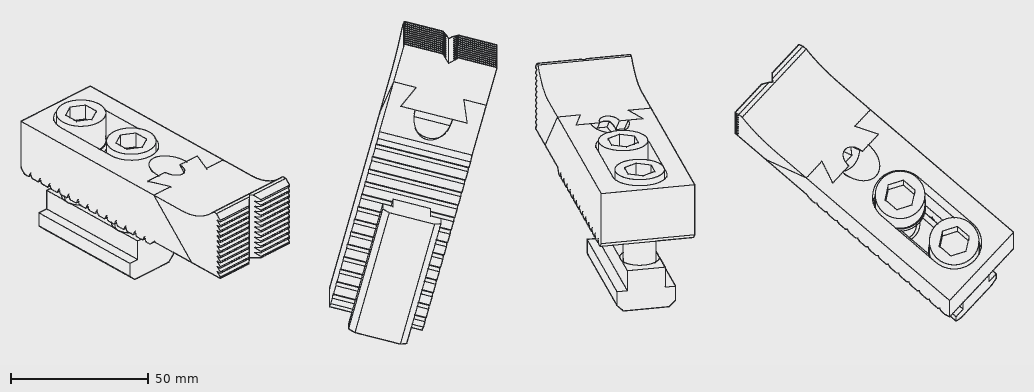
import cadquery as cq
import math


LENGTH = 105.0
WIDTH = 35.0
BODY_HEIGHT = 20.0
BODY_TOP_END = 70.0
SLOPE = 1 / math.sqrt(2)

FOOT_HEIGHT = 2.0
FOOT_END = BODY_TOP_END
GROOVE_COUNT = 13
GROOVE_PITCH = FOOT_END / (GROOVE_COUNT + 1)
GROOVE_DEPTH = 1.8
GROOVE_HALF_WIDTH = 0.8

DOVETAIL_DEPTH = 6.0
DOVETAIL_WIDE = 25.0
DOVETAIL_NARROW = 18.0

HOLLOW_START = 85.0
HOLLOW_RADIUS = 22.5
PEAK_HEIGHT = 7.0
PEAK_CHAMFER = 2.0
TOOTH_COUNT = 11
TOOTH_PITCH = 2.2
TOOTH_DEPTH = 1.6
NOTCH_DEPTH = 2.9

CAP_SPACING = 26.5
CAP_MIDDLE = 26.7
SHANK_RADIUS = 6.0
HEAD_RADIUS = 9.0
HEAD_TOP = 2.0
HEAD_HEIGHT = 11.8
FLANGE_RADIUS = 9.3
FLANGE_HEIGHT = 2.5
SOCKET_ACROSS_FLATS = 10.0
SOCKET_DEPTH = 6.0
POINT_ALONG_X = 30
SHANK_END = -45.0

SLOT_HEAD_WIDTH = 20.0
SLOT_SHANK_WIDTH = 13.0

NUT_LENGTH = 48.0
NUT_TOP = -33.0
NUT_SHOULDER = -41.0
NUT_BOTTOM = -48.9
NUT_NECK_WIDTH = 14.2
NUT_WIDTH = 21.9
NUT_CHAMFER = 2.4
COUNTERSINK_RADIUS = 7.2

SCREW_RADIUS = 7.0
SCREW_DEPTH = 8.7
SCREW_LENGTH = 14.0
SCREW_SOCKET_FLATS = 7.0
SCREW_SOCKET_DEPTH = 6.0
KEY_HOLE_RADIUS = 3.7

HEAD_BOTTOM = HEAD_TOP - HEAD_HEIGHT
HEAD_SEAT = HEAD_BOTTOM - FLANGE_HEIGHT
CAP_PLACES = [(CAP_MIDDLE - CAP_SPACING / 2, 0), (CAP_MIDDLE + CAP_SPACING / 2, 0)]
LONG = 2 * LENGTH
FOOT_BOTTOM = -BODY_HEIGHT - FOOT_HEIGHT
SCREW_TOP = -SCREW_DEPTH
SCREW_BOTTOM = SCREW_TOP - SCREW_LENGTH


def side_plate(points):
    """Extrude a closed XZ polygon across the full width."""
    return cq.Workplane("XZ").polyline(points).close().extrude(WIDTH / 2, both=True)


slope_plane = cq.Plane(origin=(BODY_TOP_END, 0, 0), xDir=(SLOPE, 0, SLOPE), normal=(-SLOPE, 0, SLOPE))
screw_start = (BODY_TOP_END - DOVETAIL_DEPTH / SLOPE, 0, 0)
screw_plane = cq.Plane(origin=screw_start, xDir=slope_plane.xDir, normal=slope_plane.zDir)


def sloping_cylinder(radius, bottom, top):
    """A cylinder on the adjusting screw's axis, between two distances along it."""
    return cq.Workplane(screw_plane).workplane(offset=bottom).circle(radius).extrude(top - bottom)


def dovetail():
    """The tongue of the insert, endless along the slope; it starts at the joint face."""
    outline = [
        (0, -DOVETAIL_NARROW / 2),
        (-DOVETAIL_DEPTH, -DOVETAIL_WIDE / 2),
        (-DOVETAIL_DEPTH, DOVETAIL_WIDE / 2),
        (0, DOVETAIL_NARROW / 2),
    ]
    return cq.Workplane(slope_plane).polyline(outline).close().extrude(LONG / 2, both=True)


def upright_cylinder(x, y, radius, bottom, top):
    return cq.Workplane("XY", origin=(x, y, bottom)).circle(radius).extrude(top - bottom)


def slot(width, bottom, top):
    """An upright round-ended slot that takes both cap screws."""
    return (
        cq.Workplane("XY", origin=(CAP_MIDDLE, 0, bottom))
        .slot2D(CAP_SPACING + width, width)
        .extrude(top - bottom)
    )


def make_carrier():
    """The block with the grooved foot, the cap screw slot and the dovetail recess."""
    carrier = side_plate([
        (0, 0),
        (0, -BODY_HEIGHT),
        (FOOT_HEIGHT, FOOT_BOTTOM),
        (FOOT_END - FOOT_HEIGHT, FOOT_BOTTOM),
        (FOOT_END, -BODY_HEIGHT),
        (BODY_TOP_END + BODY_HEIGHT, -BODY_HEIGHT),
        (BODY_TOP_END, 0),
    ])
    for i in range(1, GROOVE_COUNT + 1):
        x = i * GROOVE_PITCH
        carrier = carrier.cut(side_plate([
            (x - GROOVE_HALF_WIDTH, FOOT_BOTTOM),
            (x, FOOT_BOTTOM + GROOVE_DEPTH),
            (x + GROOVE_HALF_WIDTH, FOOT_BOTTOM),
        ]))
    carrier = carrier.cut(dovetail())
    carrier = carrier.cut(slot(SLOT_HEAD_WIDTH, HEAD_SEAT, 0))
    carrier = carrier.cut(slot(SLOT_SHANK_WIDTH, FOOT_BOTTOM, 0))
    return carrier.cut(sloping_cylinder(SCREW_RADIUS, -LONG, LONG))


def make_insert():
    """The gripping end with its hollow top, saw teeth, end notch and screw pocket."""
    hollow_run = math.sqrt(HOLLOW_RADIUS**2 - (HOLLOW_RADIUS - PEAK_HEIGHT) ** 2)
    half_angle = math.asin(hollow_run / HOLLOW_RADIUS) / 2
    hollow_middle = (
        HOLLOW_START + HOLLOW_RADIUS * math.sin(half_angle),
        HOLLOW_RADIUS * (1 - math.cos(half_angle)),
    )
    block = (
        cq.Workplane("XZ")
        .moveTo(BODY_TOP_END, 0)
        .lineTo(HOLLOW_START, 0)
        .threePointArc(hollow_middle, (HOLLOW_START + hollow_run, PEAK_HEIGHT))
        .lineTo(LENGTH - PEAK_CHAMFER, PEAK_HEIGHT)
        .lineTo(LENGTH, PEAK_HEIGHT - PEAK_CHAMFER)
        .lineTo(LENGTH, -BODY_HEIGHT)
        .lineTo(BODY_TOP_END + BODY_HEIGHT, -BODY_HEIGHT)
        .close()
        .extrude(WIDTH / 2, both=True)
    )
    body_layer = cq.Workplane("XY", origin=(0, 0, -BODY_HEIGHT / 2)).box(LONG, WIDTH, BODY_HEIGHT)
    insert = block.union(dovetail().intersect(body_layer))
    for i in range(1, TOOTH_COUNT + 1):
        z = -BODY_HEIGHT + i * TOOTH_PITCH
        insert = insert.cut(side_plate([
            (LENGTH, z),
            (LENGTH - TOOTH_DEPTH, z),
            (LENGTH, z - TOOTH_DEPTH),
        ]))
    notch = (
        cq.Workplane("XY")
        .polyline([(LENGTH - NOTCH_DEPTH, 0), (LENGTH, -NOTCH_DEPTH), (LENGTH, NOTCH_DEPTH)])
        .close()
        .extrude(LONG, both=True)
    )
    insert = insert.cut(notch)
    insert = insert.cut(sloping_cylinder(SCREW_RADIUS, SCREW_BOTTOM, SCREW_TOP))
    return insert.cut(sloping_cylinder(KEY_HOLE_RADIUS, SCREW_TOP, LONG))


def make_adjusting_screw():
    """A headless screw with a hexagon socket, half in the carrier and half in the insert."""
    screw = sloping_cylinder(SCREW_RADIUS, SCREW_BOTTOM, SCREW_TOP)
    socket = (
        cq.Workplane(screw_plane)
        .workplane(offset=SCREW_TOP)
        .polygon(6, SCREW_SOCKET_FLATS, circumscribed=True)
        .extrude(-SCREW_SOCKET_DEPTH)
    )
    return screw.cut(socket)


def make_nut():
    """The T-nut with two countersunk holes that end at the tips of the cap screws."""
    neck = NUT_NECK_WIDTH / 2
    base = NUT_WIDTH / 2
    nut = (
        cq.Workplane("YZ", origin=(CAP_MIDDLE - NUT_LENGTH / 2, 0, 0))
        .polyline([
            (-neck, NUT_TOP),
            (-neck, NUT_SHOULDER),
            (-base, NUT_SHOULDER),
            (-base, NUT_BOTTOM + NUT_CHAMFER),
            (-base + NUT_CHAMFER, NUT_BOTTOM),
            (base - NUT_CHAMFER, NUT_BOTTOM),
            (base, NUT_BOTTOM + NUT_CHAMFER),
            (base, NUT_SHOULDER),
            (neck, NUT_SHOULDER),
            (neck, NUT_TOP),
        ])
        .close()
        .extrude(NUT_LENGTH)
    )
    for x, y in CAP_PLACES:
        hole = upright_cylinder(x, y, SHANK_RADIUS, SHANK_END, NUT_TOP)
        countersink = cq.Solid.makeCone(
            COUNTERSINK_RADIUS,
            SHANK_RADIUS,
            COUNTERSINK_RADIUS - SHANK_RADIUS,
            pnt=(x, y, NUT_TOP),
            dir=(0, 0, -1),
        )
        nut = nut.cut(hole).cut(cq.Workplane(countersink))
    return nut


def make_cap_screw(x, y):
    """A hexagon socket cap screw whose head has a slightly wider flange beneath it."""
    shank = upright_cylinder(x, y, SHANK_RADIUS, SHANK_END, HEAD_SEAT)
    flange = upright_cylinder(x, y, FLANGE_RADIUS, HEAD_SEAT, HEAD_BOTTOM)
    head = upright_cylinder(x, y, HEAD_RADIUS, HEAD_BOTTOM, HEAD_TOP)
    socket = (
        cq.Workplane("XY", origin=(x, y, HEAD_TOP))
        .transformed(rotate=(0, 0, POINT_ALONG_X))
        .polygon(6, SOCKET_ACROSS_FLATS, circumscribed=True)
        .extrude(-SOCKET_DEPTH)
    )
    return shank.union(flange).union(head).cut(socket)


carrier = make_carrier()
insert = make_insert()
nut = make_nut()
adjusting_screw = make_adjusting_screw()
cap_screws = [make_cap_screw(x, y) for x, y in CAP_PLACES]

result = cq.Compound.makeCompound([
    carrier.val(),
    insert.val(),
    nut.val(),
    adjusting_screw.val(),
    *[screw.val() for screw in cap_screws],
])